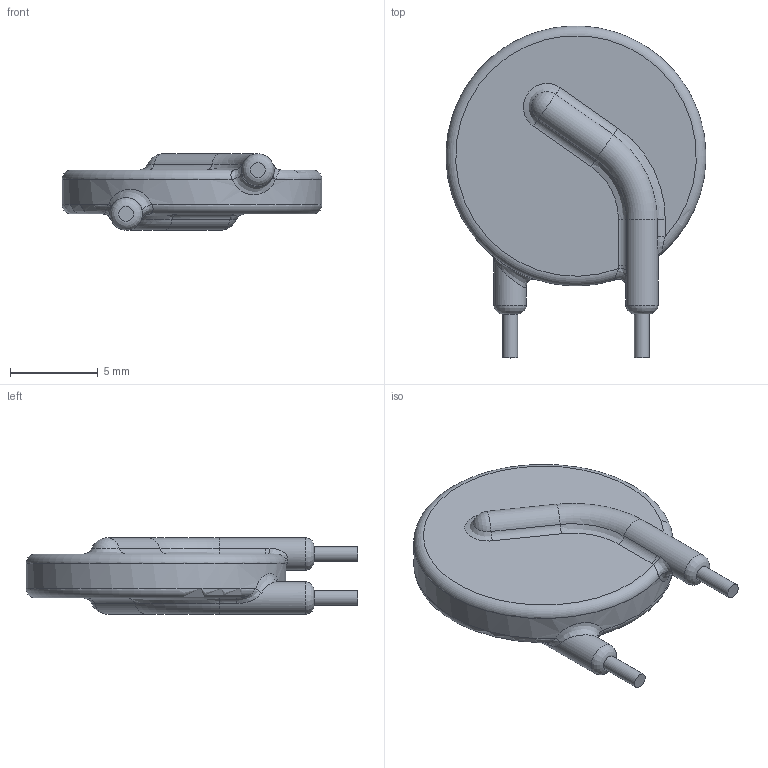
import cadquery as cq
import math

disc_diameter = 14.8
disc_thickness = 2.5
disc_edge_radius = 0.55

lead_pitch = 7.5
sleeve_diameter = 1.85
sleeve_end_y = -9.0
sleeve_end_radius = 0.5
bend_start_y = -3.6
bend_radius = 5.0
bend_angle = 55.0
inner_run = 4.0
blend_radius = 0.5

wire_diameter = 0.85
wire_end_y = -11.5

disc_radius = disc_diameter / 2
face_z = disc_thickness / 2
lead_x = lead_pitch / 2
sleeve_radius = sleeve_diameter / 2

surface_tolerance = 0.001


def make_disc():
    blank = cq.Workplane("XY", origin=(0, 0, -face_z)).circle(disc_radius).extrude(disc_thickness)
    return blank.faces("|Z").edges().fillet(disc_edge_radius)


def bend_point(angle):
    """Point on the lead axis after turning by the given angle in degrees."""
    turn = math.radians(angle)
    return (
        lead_x - bend_radius * (1 - math.cos(turn)),
        bend_start_y + bend_radius * math.sin(turn),
    )


def make_sleeve():
    """Sleeve on the upper face: straight exit, bend, straight run, round inner end."""
    turn = math.radians(bend_angle)
    bend_end = bend_point(bend_angle)
    run_direction = (-math.sin(turn), math.cos(turn), 0)
    inner_end = (
        bend_end[0] + inner_run * run_direction[0],
        bend_end[1] + inner_run * run_direction[1],
    )
    axis = (
        cq.Workplane("XY", origin=(0, 0, face_z))
        .moveTo(lead_x, sleeve_end_y)
        .lineTo(lead_x, bend_start_y)
        .threePointArc(bend_point(bend_angle / 2), bend_end)
        .lineTo(*inner_end)
    )
    crown = (0, 0, 1)
    outer_plane = cq.Plane(origin=(lead_x, sleeve_end_y, face_z), xDir=crown, normal=(0, 1, 0))
    inner_plane = cq.Plane(origin=(*inner_end, face_z), xDir=crown, normal=run_direction)
    tube = (
        cq.Workplane(outer_plane)
        .circle(sleeve_radius)
        .sweep(axis)
        .faces("<Y")
        .edges()
        .fillet(sleeve_end_radius)
    )
    cap = cq.Workplane(inner_plane).sphere(sleeve_radius)
    return tube.union(cap)


def make_wire():
    return (
        cq.Workplane("XZ", origin=(lead_x, sleeve_end_y + sleeve_end_radius, face_z))
        .circle(wire_diameter / 2)
        .extrude(sleeve_end_y + sleeve_end_radius - wire_end_y)
    )


def opposite(shape):
    """Same shape turned half a revolution about Y, onto the other face."""
    return shape.rotate((0, 0, 0), (0, 1, 0), 180)


def lies_on(point, solid):
    """True if the point is on one of the solid's faces."""
    vertex = cq.Vertex.makeVertex(*point.toTuple())
    return any(vertex.distance(face) < surface_tolerance for face in solid.val().Faces())


def attach_sleeve(body, sleeve):
    """Join a sleeve to the body and round the inside corner where they meet."""
    joined = body.union(sleeve)
    corner_edges = []
    for edge in joined.edges().vals():
        middle = edge.positionAt(0.5)
        if lies_on(middle, body) and lies_on(middle, sleeve):
            corner_edges.append(edge)
    return joined.newObject(corner_edges).fillet(blend_radius)


upper_sleeve = make_sleeve()
upper_wire = make_wire()

result = make_disc()
result = attach_sleeve(result, upper_sleeve)
result = attach_sleeve(result, opposite(upper_sleeve))
result = result.union(upper_wire)
result = result.union(opposite(upper_wire))